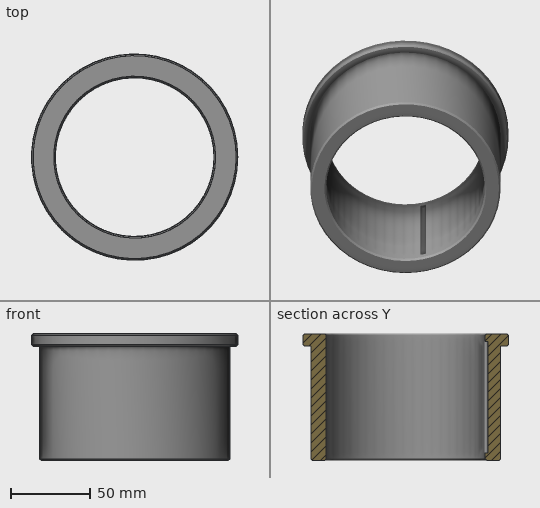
import cadquery as cq

flange_diameter = 130.0
sleeve_diameter = 120.0
bore_diameter = 100.0
total_height = 80.0
flange_thickness = 7.9
edge_chamfer = 1.0

groove_diameter = 3.2
groove_end_margin = 5.0

sleeve = (
    cq.Workplane("XY")
    .circle(sleeve_diameter / 2)
    .extrude(total_height)
    .faces("<Z")
    .chamfer(edge_chamfer)
)

flange = (
    cq.Workplane("XY")
    .workplane(offset=total_height - flange_thickness)
    .circle(flange_diameter / 2)
    .extrude(flange_thickness)
    .edges()
    .chamfer(edge_chamfer)
)

bushing = sleeve.union(flange).faces(">Z").workplane().circle(bore_diameter / 2).cutThruAll()
bore_rims = cq.selectors.RadiusNthSelector(0)
bushing = bushing.edges(bore_rims).edges("%CIRCLE").chamfer(edge_chamfer)

groove = (
    cq.Workplane("XY")
    .workplane(offset=groove_end_margin)
    .center(bore_diameter / 2, 0)
    .circle(groove_diameter / 2)
    .extrude(total_height - 2 * groove_end_margin)
)
result = bushing.cut(groove)